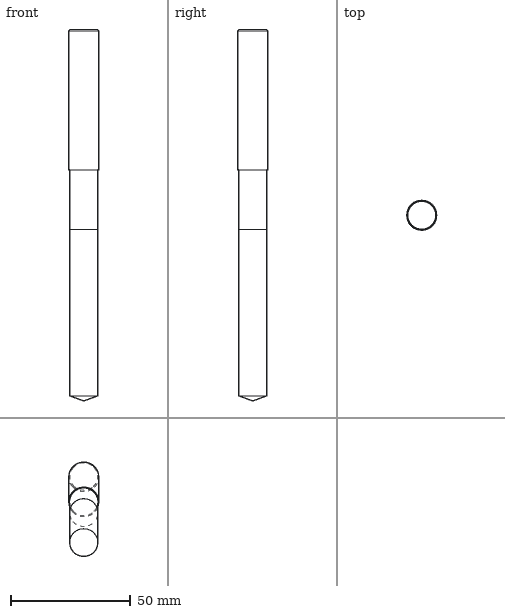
import cadquery as cq
import math

total_length = 156.0
shank_bottom = 97.0
joint_height = 72.0

shank_diameter = 12.6
neck_diameter = 11.9
cutter_diameter = neck_diameter
chamfer_height = 0.6
chamfer_width = 0.5
point_angle = 140.0

cutter_radius = cutter_diameter / 2
point_height = cutter_radius / math.tan(math.radians(point_angle / 2))


def make_shank():
    """Chamfered shank with the slimmer neck below it, as one solid."""
    neck = cq.Workplane("XY").workplane(offset=joint_height).circle(neck_diameter / 2)
    neck = neck.extrude(shank_bottom - joint_height)
    shank = cq.Workplane("XY").workplane(offset=shank_bottom).circle(shank_diameter / 2)
    shank = shank.extrude(total_length - shank_bottom)
    shank = shank.faces(">Z").chamfer(chamfer_height, chamfer_width)
    return shank.union(neck)


def make_cutter():
    """Cylindrical cutting head with a conical point, seated against the neck."""
    return (
        cq.Workplane("XZ")
        .moveTo(0, 0)
        .lineTo(-cutter_radius, point_height)
        .lineTo(-cutter_radius, joint_height)
        .lineTo(0, joint_height)
        .close()
        .revolve(360, (0, 0), (0, 1))
    )


shank = make_shank()
cutter = make_cutter()

result = cq.Compound.makeCompound([shank.val(), cutter.val()])